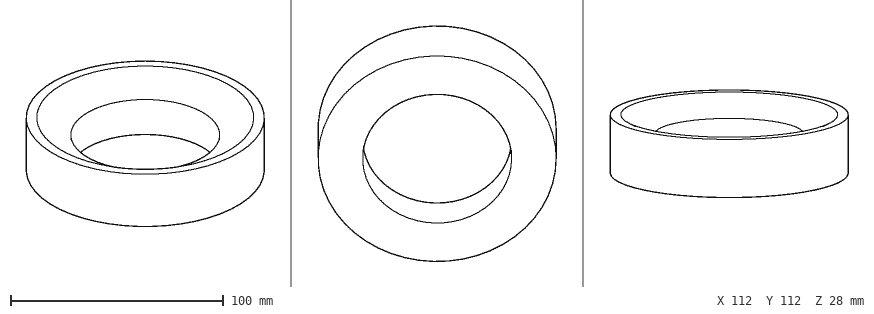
import cadquery as cq
import math

outer_diameter = 112.0
height = 28.0
bore_diameter = 70.0
seat_diameter = 102.0
seat_slope = 30.0

outer_radius = outer_diameter / 2
bore_radius = bore_diameter / 2
seat_radius = seat_diameter / 2
seat_depth = (seat_radius - bore_radius) * math.tan(math.radians(seat_slope))

result = (
    cq.Workplane("XZ")
    .moveTo(bore_radius, 0)
    .lineTo(outer_radius, 0)
    .lineTo(outer_radius, height)
    .lineTo(seat_radius, height)
    .lineTo(bore_radius, height - seat_depth)
    .close()
    .revolve(360, (0, 0, 0), (0, 1, 0))
)